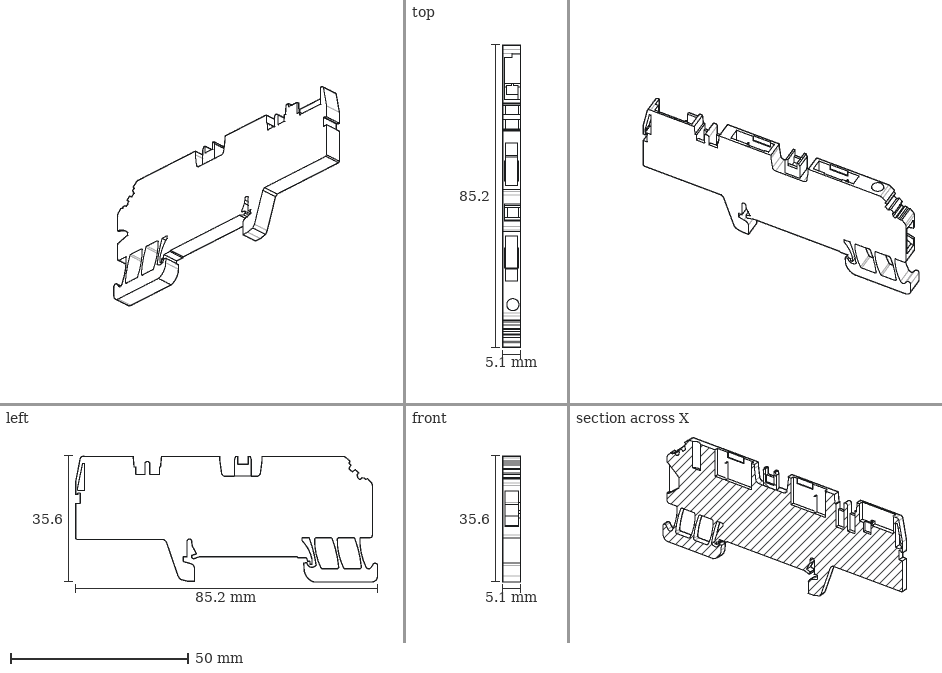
import cadquery as cq

WIDTH = 5.1
LENGTH = 85.25
TOP = 35.55
LEFT_FACE = -WIDTH / 2
RIGHT_FACE = WIDTH / 2
BACK_END = LENGTH / 2
FOOT_TIP = -LENGTH / 2
FRONT_END = -41.2
BACK_UNDERSIDE = 12.0
FRONT_UNDERSIDE = 12.5
RAIL_FACE = 7.2
BACK_CORNER = 0.3
FRONT_CORNER = 0.8
SIDE_WALL = 0.6
OVERCUT = 0.85

SLOPE_BOTTOM = 28.4
SLOPE_END = (41.35, 34.95)
BACK_ROUND_MIDDLE = (41.0, 35.4)
BACK_ROUND_END = 40.2
BACK_NOTCH_DEPTH = 1.3
BACK_NOTCH_BOTTOM = 22.25
BACK_NOTCH_TOP = 25.15
BACK_LIP_DEPTH = 0.7
BACK_LIP_Z = 24.8
END_SLOT_FRONT = 40.15
END_SLOT_BOTTOM = 25.8
END_SLOT_TOP = 33.5
END_SLOT_TOP_WIDTH = 0.5
END_SLOT_BACK = [(41.95, END_SLOT_BOTTOM), (42.1, 26.3)]

CORNER_ROUND_START = -33.0
CORNER_ROUND_MIDDLE = (-33.4, 35.4)
CORNER_ROUND_END = (-33.8, 35.1)
UPPER_TOOTH = [(-34.9, 34.2), (-34.5, 33.6), (-35.1, 33.1), (-34.5, 32.05), (-35.5, 31.2)]
LOWER_TOOTH = [(-36.3, 31.8), (-37.3, 30.9), (-36.8, 30.35), (-37.1, 29.4), (-37.7, 29.0)]
NOSE = [(-38.2, 29.5), (-38.9, 29.4), (-39.2, 29.1), (-39.8, 29.2), (-40.9, 28.05)]
NOSE_ROUND_MIDDLE = (-41.1, 27.7)
NOSE_ROUND_END = 27.4

CLAW_ROOT = [(-21.3, FRONT_UNDERSIDE), (-21.3, 11.8)]
CLAW_CURVE_MIDDLE = (-23.3, 8.95)
CLAW_CURVE_END = (-24.1, 6.5)
CLAW_TIP = [(-24.1, 5.0), (-23.5, 5.0), (-23.5, 5.9), (-22.85, 5.9), (-22.5, 6.9), (-20.1, 6.9),
            (-19.9, RAIL_FACE)]
RAIL_LIP = [(7.7, RAIL_FACE), (9.4, 6.6), (9.9, 7.0), (9.9, 7.6), (8.5, 8.0)]
SLOT_SIDE = [(9.7, 10.2), (9.9, 11.25)]
SLOT_TOP = (10.7, 12.1)
HOOK_THROAT = [(11.2, 11.6), (11.2, RAIL_FACE), (12.2, RAIL_FACE), (12.2, 5.9), (10.5, 5.4)]
HOOK_ROUND_MIDDLE = (9.4, 4.8)
HOOK_ROUND_END = (9.0, 4.1)
HOOK_BACK = [(9.0, 0.25), (11.0, 0.25), (13.05, 0.8), (13.7, 1.7), (17.05, 11.4), (17.7, BACK_UNDERSIDE)]

MARKER_LEFT = LEFT_FACE + SIDE_WALL
MARKER_STEP_X = 0.2
MARKER_BACK = END_SLOT_FRONT
MARKER_STEP_Y = 39.2
MARKER_FRONT = 27.4
MARKER_FLOOR = TOP - 5.5
LATCH_RIB_BACK = 31.8
LATCH_RIB_FRONT = 30.8
LATCH_RIB_TOP = TOP - 4.7
LATCH_WALL_X = 1.8
LATCH_WALL_TOP = TOP - 1.0
LATCH_LEFT = -1.45
LATCH_BACK = 31.3
LATCH_FRONT = 28.7
LATCH_BOTTOM = TOP - 8.5
LATCH_KEY_LEFT = -0.1
LATCH_KEY_RIGHT = 0.6

BRIDGE_BACK = 26.3
BRIDGE_FRONT = 18.4
BRIDGE_FLOOR = 30.4
BRIDGE_LEDGE_Z = 32.6
BRIDGE_TAPER_RUN = 0.25
BRIDGE_INNER_BACK = 25.6
BRIDGE_INNER_FRONT = 19.0
BRIDGE_RIB_BACK = 23.1
BRIDGE_RIB_FRONT = 21.65
BRIDGE_RIB_SHOULDER = 33.5
BRIDGE_RIB_TOP = 34.1
BRIDGE_HOLE_LEFT = -1.7
BRIDGE_HOLE_RIGHT = 1.9
BRIDGE_HOLE_BOTTOM = TOP - 10.2

HOLDER_NOTCH_BACK = 1.9
HOLDER_NOTCH_FRONT = -10.0
HOLDER_NOTCH_FLOOR = 29.9
HOLDER_NOTCH_STRAIGHT_Z = 34.35
HOLDER_NOTCH_TAPER = 0.6
HOLDER_NOTCH_ROUND = 1.0

HOLDER_BACK = -2.2
HOLDER_FRONT = -7.0
HOLDER_CHAMFER_RUN = 0.3
HOLDER_CHAMFER_DROP = 0.85
FORK_BACK = -3.15
FORK_FRONT = -6.05
FORK_FLOOR = 33.3
FORK_HOLE_LEFT = -1.2
FORK_HOLE_RIGHT = 1.9
FORK_HOLE_BOTTOM = 31.1

CLAMP_HALF_WIDTH = 1.7
CLAMP_DEPTH = 8.5
CLAMP_RELIEF_HALF_WIDTH = 2.0
CLAMP_RELIEF_DEPTH = 1.7
CLAMP_RIB = 0.3
CLAMP_RIB_DROP = 3.15
BACK_CLAMP = {"back": 15.1, "front": 3.1, "rib_y": 11.25, "relief_back": 9.9, "relief_front": 4.35}
FRONT_CLAMP = {"back": -11.2, "front": -23.95, "rib_y": -20.4, "relief_back": -14.7, "relief_front": -20.3}

DRIVER_DIAMETER = 3.4
DRIVER_X = 0.3
DRIVER_Y = -30.6
DRIVER_DEPTH = 8.5

ENTRY_HALF_WIDTH = 1.9
ENTRY_BOTTOM = 15.7
ENTRY_LIP_DEPTH = 0.8
ENTRY_LIP_Z = 15.9
ENTRY_TOP = 25.75
ENTRY_DEPTH = 4.3
ENTRY_BACK_BOTTOM = 18.75
ENTRY_BACK_TOP = 21.9
ENTRY_BEND_DEPTH = 3.8
ENTRY_BEND_Z = 22.5
SIDE_NOTCH_BOTTOM = 18.2
SIDE_NOTCH_TOP = 22.5
SIDE_NOTCH_BEND = (-38.4, 21.4)
SIDE_NOTCH_BACK = -37.2
SIDE_NOTCH_BACK_TOP = 20.3
SIDE_NOTCH_BACK_BOTTOM = 19.35

LEG_COUNT = 3
LEG_PITCH = 6.4
LEG_GAP_BOTTOM = 3.8
LEG_GAP_ROUND = 0.4
LEG_MIDDLE_Z = 8.7
LEG_FRONT_SIDE = (-24.9, -25.15, -26.8)
LEG_BACK_SIDE = (-29.7, -30.9, -31.6)
LAST_LEG_OFFSET = -(LEG_COUNT - 1) * LEG_PITCH
FOOT_CORNER = 1.8
FRONT_GROOVE = [(-39.4, 4.3), (-40.0, 3.8), (-40.75, 4.2)]
FRONT_BUMP = [(-41.4, 5.2), (-42.1, 5.4), (FOOT_TIP, 4.8)]
FOOT_HEEL = [(-24.7, 0), (-23.2, 0.85), (-21.8, 3.9)]
HEEL_TOP = [(-21.7, 5.4), (-22.7, 5.6)]
HEEL_GROOVE_BOTTOM = (-23.9, 4.3)
HEEL_GROOVE_END = (-25.2, 4.9)


def prism(points, x_start=LEFT_FACE, x_end=RIGHT_FACE):
    """Extrude a closed (Y, Z) polygon along X."""
    return cq.Workplane("YZ", origin=(x_start, 0, 0)).polyline(points).close().extrude(x_end - x_start)


def block(x_range, y_range, z_range):
    """Box between the given limits."""
    (x0, x1), (y0, y1), (z0, z1) = [sorted(limits) for limits in (x_range, y_range, z_range)]
    return cq.Workplane("XY").box(x1 - x0, y1 - y0, z1 - z0, centered=False).translate((x0, y0, z0))


def line_through(outline, points):
    """Continue an outline with straight lines through the points."""
    for point in points:
        outline = outline.lineTo(*point)
    return outline


def make_plate():
    """Main plate with its sloped back end, toothed front top corner, rail claw and fixed hook."""
    outline = (
        cq.Workplane("YZ", origin=(LEFT_FACE, 0, 0))
        .moveTo(BACK_END, BACK_UNDERSIDE + BACK_CORNER)
        .lineTo(BACK_END, SLOPE_BOTTOM)
        .lineTo(*SLOPE_END)
        .threePointArc(BACK_ROUND_MIDDLE, (BACK_ROUND_END, TOP))
        .lineTo(CORNER_ROUND_START, TOP)
        .threePointArc(CORNER_ROUND_MIDDLE, CORNER_ROUND_END)
    )
    outline = line_through(outline, UPPER_TOOTH + LOWER_TOOTH + NOSE)
    outline = (
        outline.threePointArc(NOSE_ROUND_MIDDLE, (FRONT_END, NOSE_ROUND_END))
        .lineTo(FRONT_END, FRONT_UNDERSIDE + FRONT_CORNER)
        .radiusArc((FRONT_END + FRONT_CORNER, FRONT_UNDERSIDE), -FRONT_CORNER)
    )
    outline = line_through(outline, CLAW_ROOT).threePointArc(CLAW_CURVE_MIDDLE, CLAW_CURVE_END)
    outline = line_through(outline, CLAW_TIP + RAIL_LIP + SLOT_SIDE).threePointArc(SLOT_TOP, HOOK_THROAT[0])
    outline = line_through(outline, HOOK_THROAT[1:]).threePointArc(HOOK_ROUND_MIDDLE, HOOK_ROUND_END)
    outline = line_through(outline, HOOK_BACK).lineTo(BACK_END - BACK_CORNER, BACK_UNDERSIDE)
    return outline.close().extrude(WIDTH)


def make_leg_gap():
    """Opening between the first two curved legs of the spring foot."""
    front_top, front_middle, front_bottom = LEG_FRONT_SIDE
    back_top, back_middle, back_bottom = LEG_BACK_SIDE
    return (
        cq.Workplane("YZ", origin=(LEFT_FACE, 0, 0))
        .moveTo(front_top, FRONT_UNDERSIDE)
        .threePointArc((front_middle, LEG_MIDDLE_Z), (front_bottom, LEG_GAP_BOTTOM))
        .lineTo(back_bottom, LEG_GAP_BOTTOM)
        .threePointArc((back_middle, LEG_MIDDLE_Z), (back_top, FRONT_UNDERSIDE))
        .close()
        .extrude(WIDTH)
        .edges("|X")
        .fillet(LEG_GAP_ROUND)
    )


def make_spring_foot():
    """Foot bar hanging on three curved legs."""
    groove_start, groove_bottom, groove_end = FRONT_GROOVE
    bump_start, bump_crest, bump_end = FRONT_BUMP
    heel_start, heel_middle, heel_end = FOOT_HEEL
    first_leg_top = LEG_BACK_SIDE[0] + LEG_PITCH
    first_leg_middle = LEG_BACK_SIDE[1] + LEG_PITCH
    outline = (
        cq.Workplane("YZ", origin=(LEFT_FACE, 0, 0))
        .moveTo(first_leg_top, FRONT_UNDERSIDE)
        .lineTo(LEG_FRONT_SIDE[0] + LAST_LEG_OFFSET, FRONT_UNDERSIDE)
        .threePointArc((LEG_FRONT_SIDE[1] + LAST_LEG_OFFSET, LEG_MIDDLE_Z), groove_start)
        .threePointArc(groove_bottom, groove_end)
        .lineTo(*bump_start)
        .threePointArc(bump_crest, bump_end)
        .lineTo(FOOT_TIP, FOOT_CORNER)
        .radiusArc((FOOT_TIP + FOOT_CORNER, 0), -FOOT_CORNER)
        .lineTo(*heel_start)
        .threePointArc(heel_middle, heel_end)
    )
    foot = (
        line_through(outline, HEEL_TOP)
        .threePointArc(HEEL_GROOVE_BOTTOM, HEEL_GROOVE_END)
        .threePointArc((first_leg_middle, LEG_MIDDLE_Z), (first_leg_top, FRONT_UNDERSIDE))
        .close()
        .extrude(WIDTH)
    )
    for gap_index in range(LEG_COUNT - 1):
        foot = foot.cut(make_leg_gap().translate((0, -gap_index * LEG_PITCH, 0)))
    return foot


def cut_back_end(body):
    """Stepped notch in the back end and the triangular slot in the -X side."""
    past_end = BACK_END + OVERCUT
    notch = prism([
        (past_end, BACK_NOTCH_BOTTOM),
        (BACK_END - BACK_NOTCH_DEPTH, BACK_NOTCH_BOTTOM),
        (BACK_END - BACK_NOTCH_DEPTH, BACK_NOTCH_TOP),
        (BACK_END - BACK_LIP_DEPTH, BACK_NOTCH_TOP),
        (BACK_END - BACK_LIP_DEPTH, BACK_LIP_Z),
        (past_end, BACK_LIP_Z),
    ])
    slot = prism([
        (END_SLOT_FRONT, END_SLOT_TOP),
        (END_SLOT_FRONT, END_SLOT_BOTTOM),
        *END_SLOT_BACK,
        (END_SLOT_FRONT + END_SLOT_TOP_WIDTH, END_SLOT_TOP),
    ], LEFT_FACE, MARKER_STEP_X)
    return body.cut(notch).cut(slot)


def cut_marker_pocket(body):
    """Open marker pocket with a latch rib, a latch hole and a short +X wall beside the hole."""
    past_side = RIGHT_FACE + OVERCUT
    past_top = TOP + OVERCUT
    pocket = block((MARKER_LEFT, past_side), (LATCH_RIB_BACK, MARKER_STEP_Y), (MARKER_FLOOR, past_top))
    corner = block((MARKER_STEP_X, past_side), (MARKER_STEP_Y, MARKER_BACK), (MARKER_FLOOR, past_top))
    above_rib = block((MARKER_LEFT, past_side), (LATCH_RIB_FRONT, LATCH_RIB_BACK), (LATCH_RIB_TOP, past_top))
    shelf = block((MARKER_LEFT, LATCH_WALL_X), (MARKER_FRONT, LATCH_RIB_FRONT), (MARKER_FLOOR, past_top))
    hole = block((LATCH_LEFT, LATCH_WALL_X), (LATCH_FRONT, LATCH_BACK), (LATCH_BOTTOM, past_top))
    key = block((LATCH_KEY_LEFT, LATCH_KEY_RIGHT), (LATCH_BACK, LATCH_RIB_BACK), (LATCH_BOTTOM, past_top))
    above_wall = block((LATCH_WALL_X, past_side), (MARKER_FRONT, LATCH_RIB_FRONT), (LATCH_WALL_TOP, past_top))
    for cutter in (pocket, corner, above_rib, above_wall, shelf, hole, key):
        body = body.cut(cutter)
    return body


def cut_bridge_notch(body):
    """Stepped notch with a peaked middle rib and a hole in the floor on each side of the rib."""
    notch = prism([
        (BRIDGE_BACK, TOP),
        (BRIDGE_BACK - BRIDGE_TAPER_RUN, BRIDGE_LEDGE_Z),
        (BRIDGE_INNER_BACK, BRIDGE_LEDGE_Z),
        (BRIDGE_INNER_BACK, BRIDGE_FLOOR),
        (BRIDGE_INNER_FRONT, BRIDGE_FLOOR),
        (BRIDGE_INNER_FRONT, BRIDGE_LEDGE_Z),
        (BRIDGE_FRONT + BRIDGE_TAPER_RUN, BRIDGE_LEDGE_Z),
        (BRIDGE_FRONT, TOP),
    ])
    rib = (
        cq.Workplane("YZ", origin=(LEFT_FACE, 0, 0))
        .moveTo(BRIDGE_RIB_BACK, BRIDGE_FLOOR)
        .lineTo(BRIDGE_RIB_BACK, BRIDGE_RIB_SHOULDER)
        .threePointArc(((BRIDGE_RIB_BACK + BRIDGE_RIB_FRONT) / 2, BRIDGE_RIB_TOP),
                       (BRIDGE_RIB_FRONT, BRIDGE_RIB_SHOULDER))
        .lineTo(BRIDGE_RIB_FRONT, BRIDGE_FLOOR)
        .close()
        .extrude(WIDTH)
    )
    body = body.cut(notch.cut(rib))
    for hole_y in ((BRIDGE_RIB_BACK, BRIDGE_INNER_BACK), (BRIDGE_INNER_FRONT, BRIDGE_RIB_FRONT)):
        body = body.cut(block((BRIDGE_HOLE_LEFT, BRIDGE_HOLE_RIGHT), hole_y,
                              (BRIDGE_HOLE_BOTTOM, BRIDGE_FLOOR)))
    return body


def cut_holder_notch(body):
    """Tapered notch with rounded bottom corners."""
    past_top = TOP + OVERCUT
    notch = prism([
        (HOLDER_NOTCH_BACK, past_top),
        (HOLDER_NOTCH_BACK, HOLDER_NOTCH_STRAIGHT_Z),
        (HOLDER_NOTCH_BACK - HOLDER_NOTCH_TAPER, HOLDER_NOTCH_FLOOR),
        (HOLDER_NOTCH_FRONT + HOLDER_NOTCH_TAPER, HOLDER_NOTCH_FLOOR),
        (HOLDER_NOTCH_FRONT, HOLDER_NOTCH_STRAIGHT_Z),
        (HOLDER_NOTCH_FRONT, past_top),
    ])
    return body.cut(notch.faces("<Z").edges("|X").fillet(HOLDER_NOTCH_ROUND))


def cut_clamp_opening(body, back, front, rib_y, relief_back, relief_front):
    """Deep opening crossed by a sunken rib, with shallow reliefs in its long sides."""
    across = (-CLAMP_HALF_WIDTH, CLAMP_HALF_WIDTH)
    relief_across = (-CLAMP_RELIEF_HALF_WIDTH, CLAMP_RELIEF_HALF_WIDTH)
    opening = block(across, (front, back), (TOP - CLAMP_DEPTH, TOP))
    rib = block(across, (rib_y - CLAMP_RIB / 2, rib_y + CLAMP_RIB / 2),
                (TOP - CLAMP_DEPTH, TOP - CLAMP_RIB_DROP))
    relief = block(relief_across, (relief_front, relief_back), (TOP - CLAMP_RELIEF_DEPTH, TOP))
    return body.cut(opening.cut(rib)).cut(relief)


def cut_driver_hole(body):
    """Blind round hole near the front of the top face."""
    hole = (
        cq.Workplane("XY", origin=(DRIVER_X, DRIVER_Y, TOP - DRIVER_DEPTH))
        .circle(DRIVER_DIAMETER / 2)
        .extrude(DRIVER_DEPTH)
    )
    return body.cut(hole)


def cut_conductor_entry(body):
    """Tapered entry in the front end and the wedge-shaped notch in its +X wall."""
    entry = prism([
        (FRONT_END, ENTRY_BOTTOM),
        (FRONT_END + ENTRY_LIP_DEPTH, ENTRY_LIP_Z),
        (FRONT_END + ENTRY_DEPTH, ENTRY_BACK_BOTTOM),
        (FRONT_END + ENTRY_DEPTH, ENTRY_BACK_TOP),
        (FRONT_END + ENTRY_BEND_DEPTH, ENTRY_BEND_Z),
        (FRONT_END, ENTRY_TOP),
    ], -ENTRY_HALF_WIDTH, ENTRY_HALF_WIDTH)
    notch = (
        cq.Workplane("YZ", origin=(ENTRY_HALF_WIDTH, 0, 0))
        .moveTo(FRONT_END, SIDE_NOTCH_BOTTOM)
        .lineTo(SIDE_NOTCH_BACK, SIDE_NOTCH_BACK_BOTTOM)
        .lineTo(SIDE_NOTCH_BACK, SIDE_NOTCH_BACK_TOP)
        .threePointArc(SIDE_NOTCH_BEND, (FRONT_END, SIDE_NOTCH_TOP))
        .close()
        .extrude(RIGHT_FACE - ENTRY_HALF_WIDTH)
    )
    return body.cut(entry).cut(notch)


def make_housing():
    """Plate and spring foot as one solid, with every pocket and opening cut."""
    body = make_plate().union(make_spring_foot())
    body = cut_back_end(body)
    body = cut_marker_pocket(body)
    body = cut_bridge_notch(body)
    body = cut_holder_notch(body)
    for clamp in (BACK_CLAMP, FRONT_CLAMP):
        body = cut_clamp_opening(body, **clamp)
    body = cut_driver_hole(body)
    return cut_conductor_entry(body)


def make_holder():
    """Forked holder standing on the floor of its notch, flush with the +X side."""
    shoulder = TOP - HOLDER_CHAMFER_DROP
    fork = prism([
        (HOLDER_BACK, HOLDER_NOTCH_FLOOR),
        (HOLDER_BACK, shoulder),
        (HOLDER_BACK - HOLDER_CHAMFER_RUN, TOP),
        (FORK_BACK, TOP),
        (FORK_BACK, FORK_FLOOR),
        (FORK_FRONT, FORK_FLOOR),
        (FORK_FRONT, TOP),
        (HOLDER_FRONT + HOLDER_CHAMFER_RUN, TOP),
        (HOLDER_FRONT, shoulder),
        (HOLDER_FRONT, HOLDER_NOTCH_FLOOR),
    ], MARKER_LEFT, RIGHT_FACE)
    hole = block((FORK_HOLE_LEFT, FORK_HOLE_RIGHT), (FORK_FRONT, FORK_BACK), (FORK_HOLE_BOTTOM, FORK_FLOOR))
    return fork.cut(hole)


housing = make_housing()
holder = make_holder()

result = cq.Compound.makeCompound([housing.val(), holder.val()])